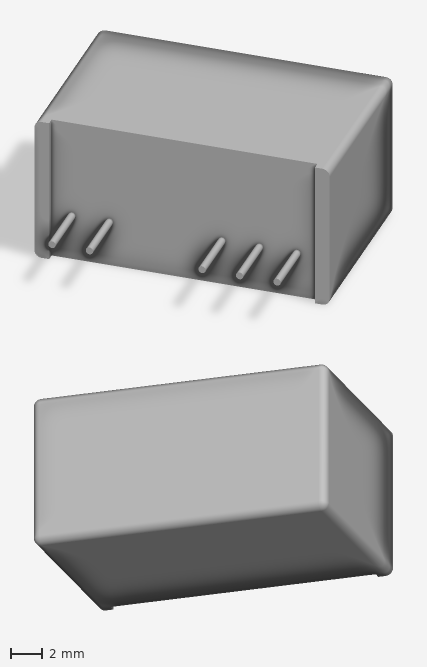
import cadquery as cq

width = 20.0
height = 10.0
total_depth = 16.5
edge_radius = 0.5

rail_width = 1.0
rail_depth = 0.5

pin_diameter = 0.5
pin_length = 4.0
pin_pitch = 2.55
pin_grid_steps = [-3, -2, 1, 2, 3]
pin_z = -1.82

body_depth = total_depth - pin_length
housing_depth = body_depth + rail_depth


def make_housing():
    block = cq.Workplane("XY").box(width, housing_depth, height, centered=(True, False, True))
    block = block.translate((0, -rail_depth, 0))
    block = block.edges("|Y or >Y").fillet(edge_radius)
    recess = cq.Workplane("XY").box(
        width - 2 * rail_width, rail_depth, height, centered=(True, False, True)
    )
    return block.cut(recess.translate((0, -rail_depth, 0)))


def make_pin(x):
    """A round pin standing on the base face and pointing along -Y."""
    base = cq.Workplane("XZ").center(x, pin_z)
    return base.circle(pin_diameter / 2).extrude(pin_length)


housing = make_housing()
pins = [make_pin(step * pin_pitch) for step in pin_grid_steps]

result = cq.Compound.makeCompound([housing.val(), *[pin.val() for pin in pins]])